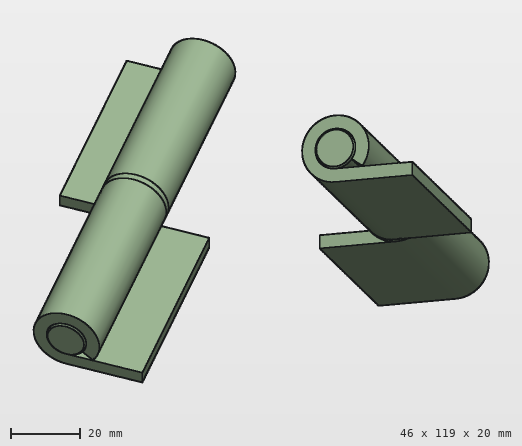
import cadquery as cq
import math


hinge_length = 119.0
hinge_width = 46.0
knuckle_diameter = 20.0
pin_diameter = 12.0
collar_width = 2.0
pin_overhang = 0.5
curl_end_angle = -36.0

knuckle_radius = knuckle_diameter / 2
pin_radius = pin_diameter / 2
pin_chamfer = pin_overhang
leaf_reach = hinge_width / 2
leaf_length = (hinge_length - collar_width) / 2 - pin_overhang

curl_start_angle = 270.0
curl_middle_angle = (curl_start_angle + curl_end_angle) / 2


def polar(radius, angle):
    """Point on a circle about the hinge axis, as (x, z); angle in degrees."""
    return (radius * math.cos(math.radians(angle)), radius * math.sin(math.radians(angle)))


def make_leaf():
    """Flat plate toward +X whose inner edge is rolled around the pin, on the -Y side of the collar."""
    return (
        cq.Workplane("XZ", origin=(0, -collar_width / 2, 0))
        .moveTo(leaf_reach, -knuckle_radius)
        .lineTo(0, -knuckle_radius)
        .threePointArc(polar(knuckle_radius, curl_middle_angle), polar(knuckle_radius, curl_end_angle))
        .lineTo(*polar(pin_radius, curl_end_angle))
        .threePointArc(polar(pin_radius, curl_middle_angle), (0, -pin_radius))
        .lineTo(leaf_reach, -pin_radius)
        .close()
        .extrude(leaf_length)
    )


def make_cylinder(radius, length):
    """Cylinder on the hinge axis, centred on the origin."""
    return cq.Workplane("XZ", origin=(0, length / 2, 0)).circle(radius).extrude(length)


def make_pin():
    """Round pin with chamfered ends and a collar that keeps the two knuckles apart."""
    shaft = make_cylinder(pin_radius, hinge_length).faces("<Y or >Y").chamfer(pin_chamfer)
    collar = make_cylinder(knuckle_radius, collar_width)
    return shaft.union(collar)


pin = make_pin()

leaves = [make_leaf().rotate((0, 0, 0), (0, 0, 1), turn) for turn in (0, 180)]

result = cq.Compound.makeCompound([pin.val(), *[leaf.val() for leaf in leaves]])